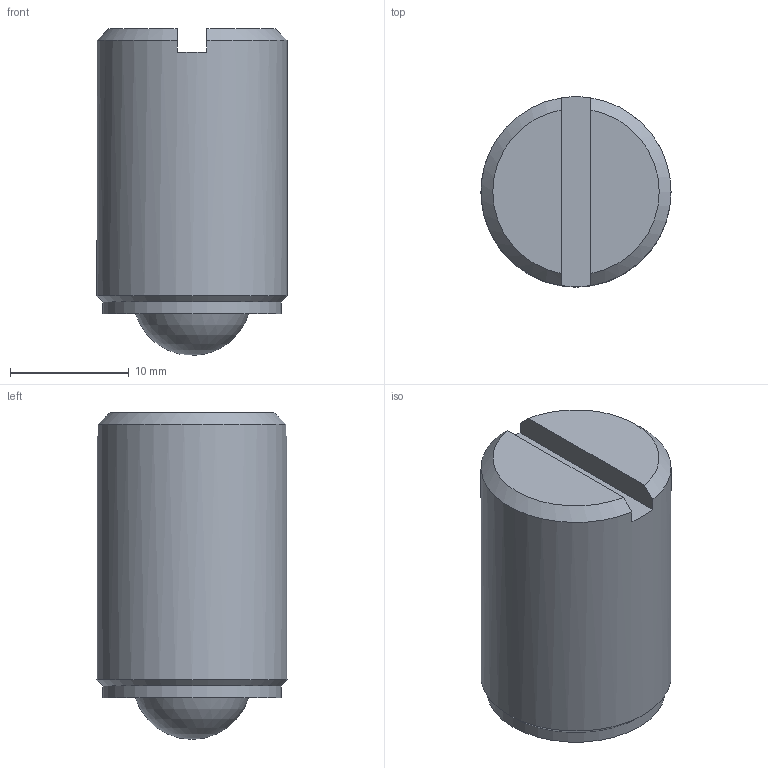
import cadquery as cq

body_diameter = 16.0
body_length = 23.0
top_chamfer = 1.0
bottom_chamfer = 0.5

slot_width = 2.5
slot_depth = 2.0

collar_diameter = 15.0
collar_height = 1.0

ball_diameter = 10.0
ball_protrusion = 3.5

collar_bottom_z = -(body_length + collar_height)
ball_center_z = collar_bottom_z - ball_protrusion + ball_diameter / 2


def make_body():
    """Cylinder hanging below Z = 0, chamfered at both ends."""
    body = cq.Workplane("XY").circle(body_diameter / 2).extrude(-body_length)
    body = body.faces(">Z").edges().chamfer(top_chamfer)
    return body.faces("<Z").edges().chamfer(bottom_chamfer)


def make_collar():
    """Short disc that retains the ball below the body."""
    collar = cq.Workplane("XY").workplane(offset=collar_bottom_z)
    return collar.circle(collar_diameter / 2).extrude(collar_height)


def make_ball():
    """Ball that protrudes from the collar's lower face."""
    return cq.Workplane("XY").sphere(ball_diameter / 2).translate((0, 0, ball_center_z))


def make_slot():
    """Screwdriver slot running along Y across the whole end face."""
    slot = cq.Workplane("XY").rect(slot_width, body_diameter)
    return slot.extrude(-slot_depth)


result = make_body().union(make_collar()).union(make_ball()).cut(make_slot())